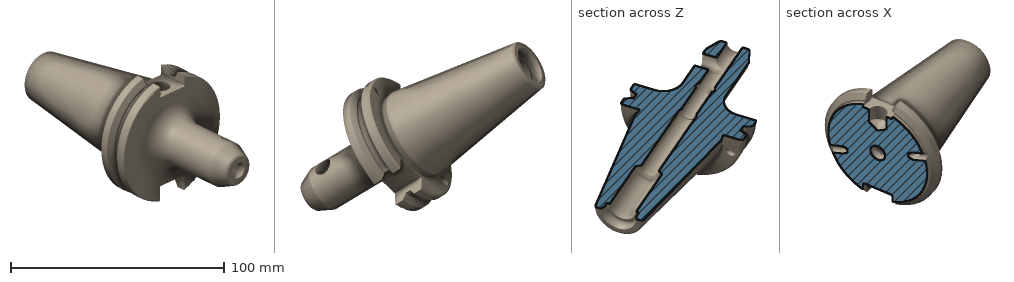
import cadquery as cq
import math

total_length = 131.8
taper_end_x = 68.0
neck_x = 69.5
flange_back_x = 71.3
flange_width = 16.0
flange_front_x = flange_back_x + flange_width
flange_mid_x = flange_back_x + flange_width / 2
nose_cone_x = 123.6

taper_end_radius = 22.3
taper_slope = 3.5 / 24
taper_edge = 0.8
neck_radius = 43.6 / 2
flange_radius = 31.6
flange_edge = 0.8
shank_radius = 22.4 / 2
shank_fillet = 10.0
nose_end_radius = 7.9
nose_edge = 0.8
nose_shoulder_fillet = 1.3

groove_floor_radius = 27.7
groove_floor_width = 3.4
groove_mouth_width = 6.9
groove_wall_angle = 60.0

slot_width = 16.1
slot_corner_fillet = 0.5
upper_slot_floor_z = 24.8
lower_slot_floor_z = -22.4
dimple_diameter = 9.5
dimple_depth = 7.9
drill_point_angle = 118.0

mouth_radius = 18.2 / 2
mouth_chamfer_depth = 1.7
counterbore_radius = 16.3 / 2
counterbore_depth = 4.7
thread_radius = 13.5 / 2
thread_end_x = 34.3
clearance_radius = 9.0 / 2
clearance_end_x = 79.0
bore_radius = 7.9 / 2
bore_cone_length = (thread_radius - clearance_radius) / math.tan(math.radians(drill_point_angle / 2))

screw_diameter = 9.0
screw_x = 115.3

coolant_angle = 20.0
coolant_entry_radius = 26.9
coolant_tilt = 40.0
coolant_mouth_diameter = 4.0
coolant_mouth_depth = 2.4
coolant_diameter = 3.3
groove_hole_diameter = 4.0


def revolve_about_x(profile):
    return profile.close().revolve(360, (0, 0, 0), (1, 0, 0))


def make_body():
    taper_start_radius = taper_end_radius - taper_slope * (taper_end_x - taper_edge)
    edge_mid = flange_edge * (1 - math.sqrt(0.5))
    fillet_mid = shank_fillet * (1 - math.sqrt(0.5))
    body = revolve_about_x(
        cq.Workplane("XY")
        .lineTo(0, taper_start_radius - taper_edge)
        .lineTo(taper_edge, taper_start_radius)
        .lineTo(taper_end_x, taper_end_radius)
        .lineTo(neck_x, neck_radius)
        .lineTo(flange_back_x, neck_radius)
        .lineTo(flange_back_x, flange_radius - flange_edge)
        .lineTo(flange_back_x + flange_edge, flange_radius)
        .lineTo(flange_front_x - flange_edge, flange_radius)
        .threePointArc(
            (flange_front_x - edge_mid, flange_radius - edge_mid),
            (flange_front_x, flange_radius - flange_edge),
        )
        .lineTo(flange_front_x, shank_radius + shank_fillet)
        .threePointArc(
            (flange_front_x + fillet_mid, shank_radius + fillet_mid),
            (flange_front_x + shank_fillet, shank_radius),
        )
        .lineTo(nose_cone_x, shank_radius)
        .lineTo(total_length - nose_edge, nose_end_radius)
        .lineTo(total_length, nose_end_radius - nose_edge)
        .lineTo(total_length, 0)
    )
    margin = nose_shoulder_fillet / 10
    nose_shoulder = cq.selectors.BoxSelector(
        (nose_cone_x - margin, -flange_radius, -flange_radius),
        (nose_cone_x + margin, flange_radius, flange_radius),
    )
    return body.edges("%CIRCLE").edges(nose_shoulder).fillet(nose_shoulder_fillet)


def make_groove():
    half_floor = groove_floor_width / 2
    half_mouth = groove_mouth_width / 2
    wall_height = (half_mouth - half_floor) * math.tan(math.radians(groove_wall_angle))
    wall_foot_radius = flange_radius - wall_height
    clear_radius = flange_radius + 1.3
    return revolve_about_x(
        cq.Workplane("XY")
        .moveTo(flange_mid_x - half_floor, groove_floor_radius)
        .lineTo(flange_mid_x - half_floor, wall_foot_radius)
        .lineTo(flange_mid_x - half_mouth, flange_radius)
        .lineTo(flange_mid_x - half_mouth, clear_radius)
        .lineTo(flange_mid_x + half_mouth, clear_radius)
        .lineTo(flange_mid_x + half_mouth, flange_radius)
        .lineTo(flange_mid_x + half_floor, wall_foot_radius)
        .lineTo(flange_mid_x + half_floor, groove_floor_radius)
    )


def make_slot(floor_z):
    outer_z = math.copysign(flange_radius, floor_z)
    block = cq.Workplane("XY").box(flange_width, slot_width, abs(outer_z - floor_z)).translate(
        (flange_mid_x, 0, (floor_z + outer_z) / 2)
    )
    floor_face = "<Z" if floor_z > 0 else ">Z"
    return block.faces(floor_face).edges("|X").fillet(slot_corner_fillet)


def make_dimple():
    radius = dimple_diameter / 2
    point_length = radius / math.tan(math.radians(drill_point_angle / 2))
    return (
        cq.Workplane("XZ")
        .moveTo(0, 0)
        .lineTo(radius, 0)
        .lineTo(radius, -dimple_depth)
        .lineTo(0, -dimple_depth - point_length)
        .close()
        .revolve(360, (0, 0, 0), (0, 1, 0))
        .translate((flange_mid_x, 0, upper_slot_floor_z))
    )


def make_bore():
    return revolve_about_x(
        cq.Workplane("XY")
        .lineTo(0, mouth_radius)
        .lineTo(mouth_chamfer_depth, counterbore_radius)
        .lineTo(counterbore_depth, counterbore_radius)
        .lineTo(counterbore_depth, thread_radius)
        .lineTo(thread_end_x, thread_radius)
        .lineTo(thread_end_x + bore_cone_length, clearance_radius)
        .lineTo(clearance_end_x, clearance_radius)
        .lineTo(clearance_end_x, bore_radius)
        .lineTo(total_length, bore_radius)
        .lineTo(total_length, 0)
    )


def make_drill(start, direction, diameter, length):
    return cq.Workplane(
        cq.Solid.makeCylinder(diameter / 2, length, cq.Vector(*start), cq.Vector(*direction))
    )


def make_coolant_holes():
    """Stepped inclined hole from the back face and a radial hole from the groove, along +Y."""
    tilt = math.radians(coolant_tilt)
    direction = (math.cos(tilt), -math.sin(tilt), 0)
    run_up = coolant_mouth_diameter
    start = (
        flange_back_x - run_up * direction[0],
        coolant_entry_radius - run_up * direction[1],
        0,
    )
    length_to_axis = start[1] / math.sin(tilt)
    mouth = make_drill(start, direction, coolant_mouth_diameter, run_up + coolant_mouth_depth)
    inclined = make_drill(start, direction, coolant_diameter, length_to_axis)
    meeting_radius = coolant_entry_radius - (flange_mid_x - flange_back_x) * math.tan(tilt)
    radial = make_drill(
        (flange_mid_x, meeting_radius, 0),
        (0, 1, 0),
        groove_hole_diameter,
        flange_radius - meeting_radius,
    )
    return mouth.union(inclined).union(radial)


result = make_body().cut(make_groove())
for slot_floor_z in (upper_slot_floor_z, lower_slot_floor_z):
    result = result.cut(make_slot(slot_floor_z))
result = result.cut(make_dimple()).cut(make_bore())
result = result.cut(make_drill((screw_x, 0, 0), (0, 1, 0), screw_diameter, shank_radius + 1.3))
for half_turn in (0, 180):
    result = result.cut(make_coolant_holes().rotate((0, 0, 0), (1, 0, 0), coolant_angle + half_turn))